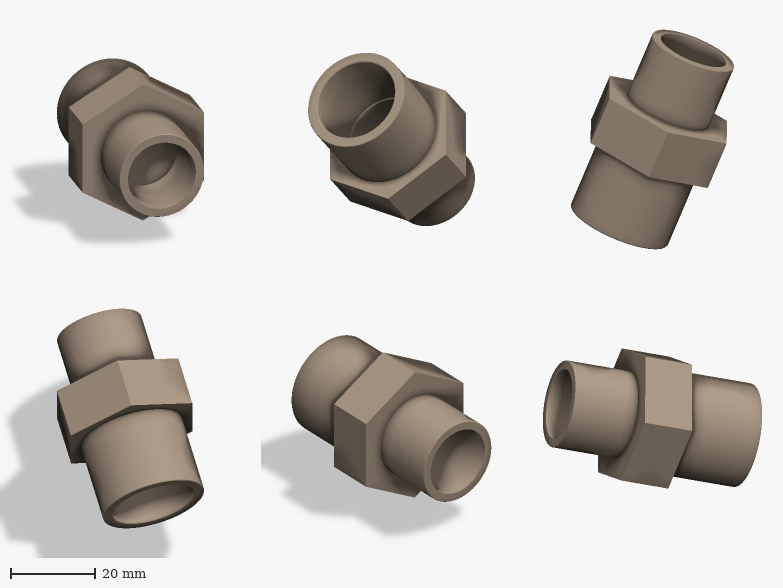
import cadquery as cq
import math

SPIGOT_LENGTH = 19.0
HEX_LENGTH = 12.0
TAIL_LENGTH = 16.0

SPIGOT_DIAMETER = 25.0
HEX_ACROSS_FLATS = 30.0
TAIL_DIAMETER = 20.95

SPIGOT_BORE_DIAMETER = 20.0
HEX_BORE_DIAMETER = 19.0
TAIL_BORE_DIAMETER = 16.76

BEVEL_LENGTH = 0.2
BEVEL_ANGLE_DEGREES = 30
MOUTH_CHAMFER = 0.2

HEX_SIDES = 6
HEX_TILT_DEGREES = 0.2

hex_start = SPIGOT_LENGTH
hex_end = hex_start + HEX_LENGTH
fitting_end = hex_end + TAIL_LENGTH

bevel_depth = BEVEL_LENGTH * math.tan(math.radians(BEVEL_ANGLE_DEGREES))


def revolve_about_x(outline):
    """Turn a closed outline of (x, radius) points into a solid of revolution."""
    profile = cq.Workplane("XY").polyline(outline).close()
    return profile.revolve(360, (0, 0, 0), (1, 0, 0))


def make_tubes():
    spigot_radius = SPIGOT_DIAMETER / 2
    tail_radius = TAIL_DIAMETER / 2
    return revolve_about_x(
        [
            (0, 0),
            (0, spigot_radius - bevel_depth),
            (BEVEL_LENGTH, spigot_radius),
            (hex_end, spigot_radius),
            (hex_end, tail_radius),
            (fitting_end - BEVEL_LENGTH, tail_radius),
            (fitting_end, tail_radius - bevel_depth),
            (fitting_end, 0),
        ]
    )


def make_hexagon():
    corner_diameter = HEX_ACROSS_FLATS / math.cos(math.pi / HEX_SIDES)
    corner_angle = 90 - HEX_TILT_DEGREES
    return (
        cq.Workplane("YZ", origin=(hex_start, 0, 0))
        .transformed(rotate=(0, 0, corner_angle))
        .polygon(HEX_SIDES, corner_diameter)
        .extrude(HEX_LENGTH)
    )


def make_stepped_bore():
    spigot_bore_radius = SPIGOT_BORE_DIAMETER / 2
    hex_bore_radius = HEX_BORE_DIAMETER / 2
    tail_bore_radius = TAIL_BORE_DIAMETER / 2
    return revolve_about_x(
        [
            (0, 0),
            (0, spigot_bore_radius + MOUTH_CHAMFER),
            (MOUTH_CHAMFER, spigot_bore_radius),
            (hex_start, spigot_bore_radius),
            (hex_start, hex_bore_radius),
            (hex_end, hex_bore_radius),
            (hex_end, tail_bore_radius),
            (fitting_end, tail_bore_radius),
            (fitting_end, 0),
        ]
    )


result = make_tubes().union(make_hexagon()).cut(make_stepped_bore())